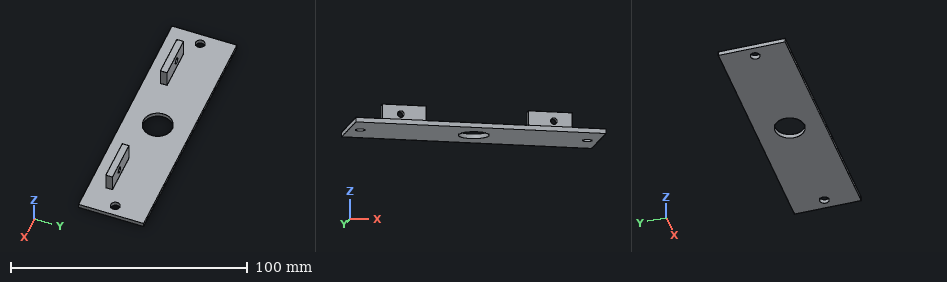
import cadquery as cq

plate_length = 108.0
plate_width = 29.6
plate_thickness = 2.0
total_height = 10.0

center_hole_diameter = 13.0
mount_hole_diameter = 4.0
mount_hole_offset = 49.0

tab_length = 19.0
tab_thickness = 3.0
tab_offset = 31.5
tab_center_y = -5.9
tab_height = total_height - plate_thickness

tab_hole_diameter = 2.7
tab_hole_offset = 33.0
tab_hole_height = 6.0


def make_plate():
    """Flat plate with a large central hole and a mounting hole at each end."""
    plate = cq.Workplane("XY").box(
        plate_length, plate_width, plate_thickness, centered=(True, True, False)
    )
    top = plate.faces(">Z").workplane()
    plate = top.hole(center_hole_diameter)
    mount_points = [(-mount_hole_offset, 0), (mount_hole_offset, 0)]
    return plate.faces(">Z").workplane().pushPoints(mount_points).hole(mount_hole_diameter)


def make_tab(side):
    """Upright tab with its cross hole; side is -1 (left) or 1 (right)."""
    tab = (
        cq.Workplane("XY", origin=(side * tab_offset, tab_center_y, plate_thickness))
        .box(tab_length, tab_thickness, tab_height, centered=(True, True, False))
    )
    cross_hole = (
        cq.Workplane("XZ", origin=(side * tab_hole_offset, tab_center_y, tab_hole_height))
        .circle(tab_hole_diameter / 2)
        .extrude(tab_thickness, both=True)
    )
    return tab.cut(cross_hole)


result = make_plate()
for side in (-1, 1):
    result = result.union(make_tab(side))